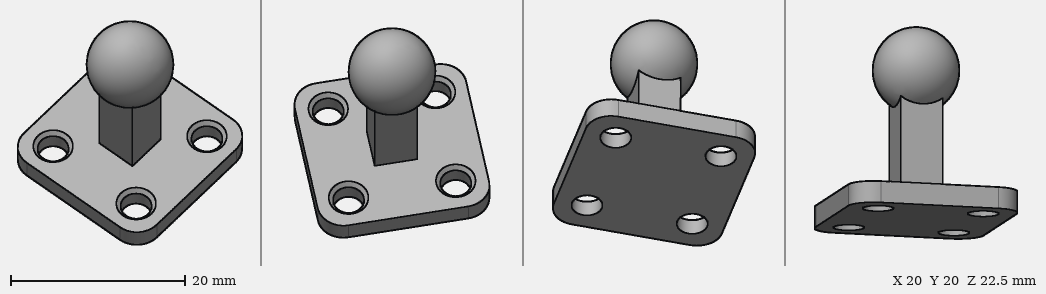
import cadquery as cq

total_height = 22.5
plate_side = 20.0
plate_thickness = 2.5
corner_radius = 3.0
post_side = 5.0
ball_diameter = 9.99
hole_spacing = 12.5
hole_diameter = 3.55
hole_chamfer = 0.5
countersink_angle = 90.0

ball_center_height = total_height - ball_diameter / 2


def make_plate():
    """Rounded square base plate resting on Z = 0, with four chamfered through holes."""
    plate = (
        cq.Workplane("XY")
        .rect(plate_side, plate_side)
        .extrude(plate_thickness)
        .edges("|Z")
        .fillet(corner_radius)
    )
    return (
        plate.faces(">Z")
        .workplane()
        .rect(hole_spacing, hole_spacing, forConstruction=True)
        .vertices()
        .cskHole(hole_diameter, hole_diameter + 2 * hole_chamfer, countersink_angle)
    )


def make_post():
    """Square post running from the plate bottom to the centre of the ball."""
    return cq.Workplane("XY").rect(post_side, post_side).extrude(ball_center_height)


def make_ball():
    """Ball on top of the post."""
    return cq.Workplane("XY").sphere(ball_diameter / 2).translate((0, 0, ball_center_height))


result = make_plate().union(make_post()).union(make_ball())